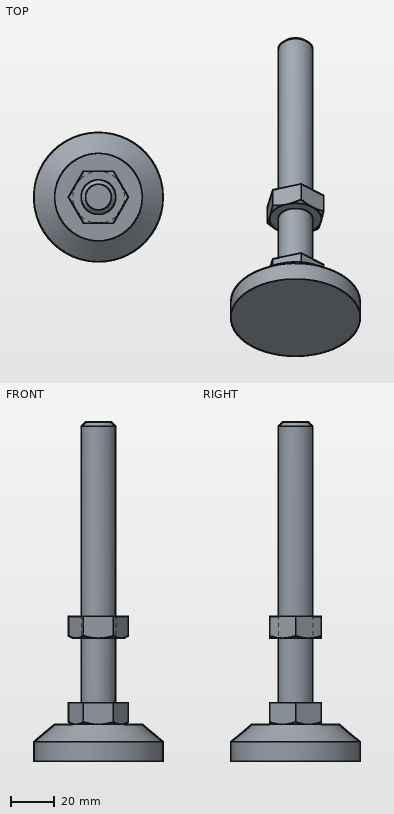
import cadquery as cq
import math

base_diameter = 60.0
base_top_diameter = 40.5
rim_height = 9.0
base_height = 17.1

total_height = 157.0
rod_diameter = 16.0
tip_chamfer = 2.0

hex_across_flats = 24.0
hex_height = 10.0
hex_chamfer_angle = 30.0
nut_bottom = 57.0

hex_across_corners = hex_across_flats / math.cos(math.radians(30))


def make_hexagon(bottom):
    """Hexagonal prism whose lower corners are cut by a cone."""
    prism = cq.Workplane("XY").polygon(6, hex_across_corners).extrude(hex_height)
    bottom_radius = hex_across_flats / 2
    corner_radius = hex_across_corners / 2
    chamfer_rise = (corner_radius - bottom_radius) * math.tan(math.radians(hex_chamfer_angle))
    envelope = (
        cq.Workplane("XZ")
        .moveTo(0, 0)
        .lineTo(bottom_radius, 0)
        .lineTo(corner_radius, chamfer_rise)
        .lineTo(corner_radius, hex_height)
        .lineTo(0, hex_height)
        .close()
        .revolve(360, (0, 0, 0), (0, 1, 0))
    )
    return prism.intersect(envelope).translate((0, 0, bottom))


def make_base():
    """Round foot: a cylindrical rim below a conical shoulder."""
    return (
        cq.Workplane("XZ")
        .moveTo(0, 0)
        .lineTo(base_diameter / 2, 0)
        .lineTo(base_diameter / 2, rim_height)
        .lineTo(base_top_diameter / 2, base_height)
        .lineTo(0, base_height)
        .close()
        .revolve(360, (0, 0, 0), (0, 1, 0))
    )


def make_stud():
    """Rod with a chamfered tip and a hexagon at its foot, standing on the base."""
    rod = (
        cq.Workplane("XY", origin=(0, 0, base_height))
        .circle(rod_diameter / 2)
        .extrude(total_height - base_height)
        .faces(">Z")
        .chamfer(tip_chamfer)
    )
    return rod.union(make_hexagon(base_height))


def make_lock_nut():
    """Hexagonal nut bored to fit the rod."""
    bore = (
        cq.Workplane("XY", origin=(0, 0, nut_bottom))
        .circle(rod_diameter / 2)
        .extrude(hex_height)
    )
    return make_hexagon(nut_bottom).cut(bore)


base = make_base()
stud = make_stud()
lock_nut = make_lock_nut()

result = cq.Compound.makeCompound([base.val(), stud.val(), lock_nut.val()])